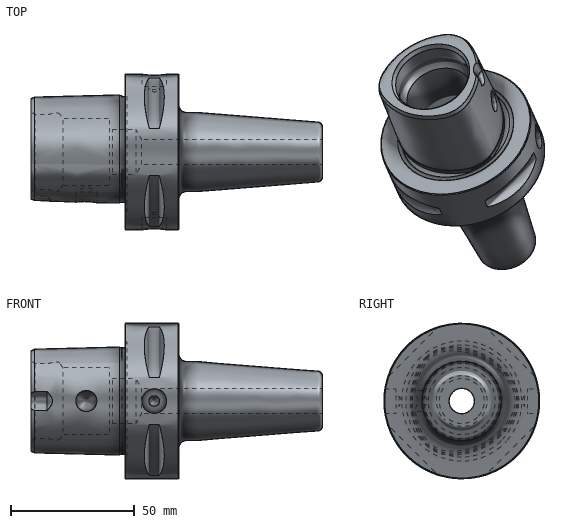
import cadquery as cq
import math

overall_length = 118.0
shank_chamfer_length = 1.5
taper_end = 35.8
flange_front = 38.0
flange_back = 60.0
nose_straight_start = 62.9
nose_taper_start = 67.3

flat_reach = 20.8
lobe_reach = 23.1
flat_radius = 29.1
taper_slope = 1 / 40
shank_chamfer = 0.7
neck_step = 0.2

neck_radius = 22.5
lobe_bevel_start = 36.3
face_groove_inner_radius = 22.7
face_groove_outer_radius = 24.3
flange_radius = 31.5
flange_edge = 0.4

nose_base_radius = 16.0
nose_tip_radius = 12.2
nose_edge_radius = 2.1
nose_fillet_radius = nose_straight_start - flange_back

mouth_radius = 16.3
mouth_length = 1.7
entry_radius = 15.2
entry_end = 7.3
relief_radius = 15.8
relief_start = 9.2
relief_end = 10.6
throat_fillet_radius = 1.4
throat_angle = math.radians(55)
main_bore_radius = 13.6
main_bore_end = 31.9
floor_corner_radius = 0.4
screw_mouth_radius = 10.3
screw_bore_radius = 9.1
screw_bore_end = 42.5
tool_bore_radius = 5.1
drill_half_angle = math.radians(60)

flange_feature_position = 49.9

key_radius = 5.0
key_offset = 22.8
key_length = 6.5
key_tip_half_angle = math.radians(45)
shank_hole_position = 22.4
shank_hole_radius = 4.2
shank_hole_floor = 16.2
chip_hole_radius = 5.0
chip_hole_depth = 5.0
chip_pilot_radius = 2.1
chip_pilot_depth = 1.2

groove_floor_reach = 28.0
groove_floor_width = 4.0
groove_flank_angle = math.radians(30)
groove_corner_radius = 0.6


def drill_tip_length(radius, half_angle=drill_half_angle):
    return radius / math.tan(half_angle)


def polar(reach, angle_deg):
    """Point (y, z) at a distance from the axis; 0 degrees is +Y."""
    angle = math.radians(angle_deg)
    return reach * math.cos(angle), reach * math.sin(angle)


def lobed_section(x, inset):
    """Wire of six tangent arcs: three lobes joined by three shallow flats."""
    flat_centre = flat_radius - flat_reach
    lobe_radius = (
        flat_radius**2 - flat_centre**2 - lobe_reach**2 - flat_centre * lobe_reach
    ) / (2 * flat_radius - 2 * lobe_reach - flat_centre)
    lobe_centre = lobe_reach - lobe_radius
    lobe_y, lobe_z = lobe_centre, 0.0
    flat_y, flat_z = polar(flat_centre, -120)
    direction = math.atan2(lobe_z - flat_z, lobe_y - flat_y)
    tangent_y = lobe_y + (lobe_radius - inset) * math.cos(direction)
    tangent_z = lobe_z + (lobe_radius - inset) * math.sin(direction)
    tangent_reach = math.hypot(tangent_y, tangent_z)
    tangent_angle = math.degrees(math.atan2(tangent_z, tangent_y))

    section = cq.Workplane("YZ", origin=(x, 0, 0)).moveTo(*polar(tangent_reach, -tangent_angle))
    for lobe in (0, 120, 240):
        section = section.threePointArc(
            polar(lobe_reach - inset, lobe), polar(tangent_reach, lobe + tangent_angle)
        )
        section = section.threePointArc(
            polar(flat_reach - inset, lobe + 60), polar(tangent_reach, lobe + 120 - tangent_angle)
        )
    return section.close().val()


def lobed_frustum(start, start_inset, end, end_inset):
    wires = [lobed_section(start, start_inset), lobed_section(end, end_inset)]
    return cq.Workplane(cq.Solid.makeLoft(wires, True))


def revolve_about_x(profile):
    return profile.close().revolve(360, (0, 0, 0), (1, 0, 0))


def make_shank():
    inset_after_chamfer = taper_slope * (taper_end - shank_chamfer_length)
    tip = lobed_frustum(0, inset_after_chamfer + shank_chamfer, shank_chamfer_length, inset_after_chamfer)
    taper = lobed_frustum(shank_chamfer_length, inset_after_chamfer, taper_end, 0)
    neck = lobed_frustum(taper_end, neck_step, flange_front, neck_step)
    bevel_rise = lobe_reach - neck_radius
    lobe_trim = revolve_about_x(
        cq.Workplane("XY")
        .moveTo(0, 0)
        .lineTo(0, lobe_reach)
        .lineTo(lobe_bevel_start, lobe_reach)
        .lineTo(lobe_bevel_start + bevel_rise, neck_radius)
        .lineTo(flange_front, neck_radius)
        .lineTo(flange_front, 0)
    )
    return tip.union(taper).union(neck.intersect(lobe_trim))


def make_flange_and_nose():
    return revolve_about_x(
        cq.Workplane("XY")
        .moveTo(flange_front, 0)
        .lineTo(flange_front, flange_radius - flange_edge)
        .lineTo(flange_front + flange_edge, flange_radius)
        .lineTo(flange_back - flange_edge, flange_radius)
        .lineTo(flange_back, flange_radius - flange_edge)
        .lineTo(flange_back, nose_base_radius + nose_fillet_radius)
        .radiusArc((nose_straight_start, nose_base_radius), -nose_fillet_radius)
        .lineTo(nose_taper_start, nose_base_radius)
        .lineTo(overall_length - nose_edge_radius, nose_tip_radius)
        .radiusArc((overall_length, nose_tip_radius - nose_edge_radius), nose_edge_radius)
        .lineTo(overall_length, 0)
    )


def make_face_groove():
    """Half-round ring groove in the front face of the flange, around the shank."""
    middle_radius = (face_groove_inner_radius + face_groove_outer_radius) / 2
    half_width = (face_groove_outer_radius - face_groove_inner_radius) / 2
    return revolve_about_x(
        cq.Workplane("XY")
        .moveTo(flange_front, face_groove_inner_radius)
        .threePointArc(
            (flange_front + half_width, middle_radius), (flange_front, face_groove_outer_radius)
        )
    )


def make_bore():
    throat_start = relief_end + throat_fillet_radius * math.sin(throat_angle)
    throat_radius = relief_radius - throat_fillet_radius * (1 - math.cos(throat_angle))
    main_bore_start = throat_start + (throat_radius - main_bore_radius) / math.tan(throat_angle)
    screw_chamfer = screw_mouth_radius - screw_bore_radius
    cone_length = drill_tip_length(screw_bore_radius - tool_bore_radius)
    return revolve_about_x(
        cq.Workplane("XY")
        .moveTo(0, 0)
        .lineTo(0, mouth_radius)
        .lineTo(mouth_length, entry_radius)
        .lineTo(entry_end, entry_radius)
        .lineTo(relief_start, relief_radius)
        .lineTo(relief_end, relief_radius)
        .radiusArc((throat_start, throat_radius), throat_fillet_radius)
        .lineTo(main_bore_start, main_bore_radius)
        .lineTo(main_bore_end - floor_corner_radius, main_bore_radius)
        .radiusArc((main_bore_end, main_bore_radius - floor_corner_radius), floor_corner_radius)
        .lineTo(main_bore_end, screw_mouth_radius)
        .lineTo(main_bore_end + screw_chamfer, screw_bore_radius)
        .lineTo(screw_bore_end, screw_bore_radius)
        .lineTo(screw_bore_end + cone_length, tool_bore_radius)
        .lineTo(overall_length, tool_bore_radius)
        .lineTo(overall_length, 0)
    )


def drilled_hole(radius, depth, half_angle=drill_half_angle):
    """Hole along +X from the origin, with a conical bottom past the full-radius depth."""
    return revolve_about_x(
        cq.Workplane("XY")
        .moveTo(0, 0)
        .lineTo(0, radius)
        .lineTo(depth, radius)
        .lineTo(depth + drill_tip_length(radius, half_angle), 0)
    )


def make_keyway():
    return drilled_hole(key_radius, key_length, key_tip_half_angle).translate((0, -key_offset, 0))


def make_shank_hole():
    hole = drilled_hole(shank_hole_radius, flange_radius - shank_hole_floor)
    return hole.rotate((0, 0, 0), (0, 0, 1), 90).translate((shank_hole_position, -flange_radius, 0))


def make_chip_holes():
    pocket = cq.Workplane("YZ").circle(chip_hole_radius).extrude(chip_hole_depth)
    pilot = drilled_hole(chip_pilot_radius, chip_hole_depth + chip_pilot_depth)
    near = (
        pocket.union(pilot)
        .rotate((0, 0, 0), (0, 0, 1), 90)
        .translate((flange_feature_position, -flange_radius, 0))
    )
    return near.union(near.mirror("XZ"))


def make_gripper_groove(angle_deg):
    depth = flange_radius - groove_floor_reach
    floor_half = groove_floor_width / 2
    mouth_half = floor_half + depth * math.tan(groove_flank_angle)
    groove = (
        cq.Workplane("XY", origin=(flange_feature_position, 0, 0))
        .moveTo(-floor_half, groove_floor_reach)
        .lineTo(-mouth_half, flange_radius)
        .lineTo(mouth_half, flange_radius)
        .lineTo(floor_half, groove_floor_reach)
        .close()
        .extrude(flange_radius, both=True)
        .faces("<Y")
        .edges("|Z")
        .fillet(groove_corner_radius)
    )
    return groove.rotate((0, 0, 0), (1, 0, 0), angle_deg)


result = make_shank().union(make_flange_and_nose())
result = result.cut(make_face_groove()).cut(make_bore())
result = result.cut(make_keyway()).cut(make_shank_hole()).cut(make_chip_holes())
for groove_angle in (45, 135, 225, 315):
    result = result.cut(make_gripper_groove(groove_angle))